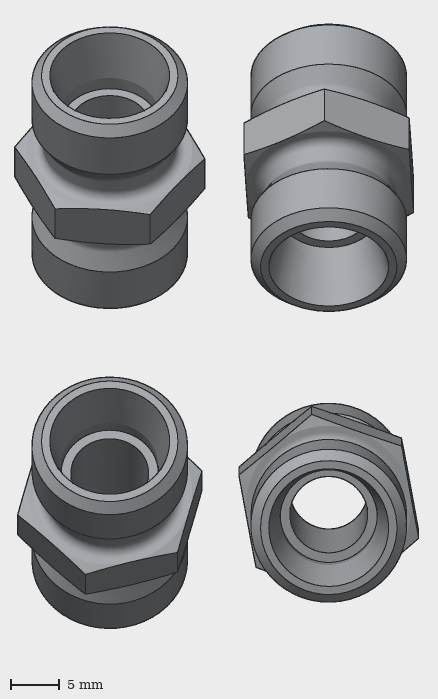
import cadquery as cq
import math

length = 27.0
half_length = length / 2
thread_radius = 16.0 / 2
end_chamfer = 1.0
thread_length = 6.35
runout_angle = 30.0

neck_radius = 13.7 / 2
neck_fillet = 1.0

hex_width = 17.0
hex_height = 5.02
hex_chamfer_angle = 15.0

bore_radius = 8.0 / 2
socket_radius = 10.0 / 2
socket_depth = 7.0
mouth_radius = 12.3 / 2
socket_taper = 12.0


def tan_deg(angle):
    return math.tan(math.radians(angle))


def make_threaded_end():
    """Upper stub: relief neck, runout cone and chamfered cylinder."""
    hex_face = hex_height / 2
    thread_start = half_length - thread_length
    cone_start = thread_start - (thread_radius - neck_radius) / tan_deg(runout_angle)

    tangent = neck_fillet * tan_deg(runout_angle / 2)
    angle = math.radians(runout_angle)
    half_angle = angle / 2
    blend_center_radius = neck_radius + neck_fillet
    blend_start = cone_start - tangent
    blend_middle = (
        blend_center_radius - neck_fillet * math.cos(half_angle),
        blend_start + neck_fillet * math.sin(half_angle),
    )
    blend_end = (
        blend_center_radius - neck_fillet * math.cos(angle),
        blend_start + neck_fillet * math.sin(angle),
    )

    foot_middle = (
        neck_radius + neck_fillet * (1 - math.sqrt(0.5)),
        hex_face + neck_fillet * (1 - math.sqrt(0.5)),
    )
    profile = (
        cq.Workplane("XZ")
        .lineTo(0, half_length)
        .lineTo(thread_radius - end_chamfer, half_length)
        .lineTo(thread_radius, half_length - end_chamfer)
        .lineTo(thread_radius, thread_start)
        .lineTo(*blend_end)
        .threePointArc(blend_middle, (neck_radius, blend_start))
        .lineTo(neck_radius, hex_face + neck_fillet)
        .threePointArc(foot_middle, (neck_radius + neck_fillet, hex_face))
        .lineTo(neck_radius + neck_fillet, 0)
        .close()
    )
    return profile.revolve(360, (0, 0, 0), (0, 1, 0))


def make_hexagon():
    """Hexagon with its corners turned down by a shallow cone on both faces."""
    corner_radius = hex_width / math.sqrt(3)
    flat_radius = hex_width / 2
    half_height = hex_height / 2
    corner_height = half_height - (corner_radius - flat_radius) * tan_deg(hex_chamfer_angle)
    prism = (
        cq.Workplane("XY")
        .polygon(6, 2 * corner_radius)
        .extrude(half_height, both=True)
        .rotate((0, 0, 0), (0, 0, 1), 30)
    )
    turned_blank = (
        cq.Workplane("XZ")
        .moveTo(0, -half_height)
        .lineTo(flat_radius, -half_height)
        .lineTo(corner_radius, -corner_height)
        .lineTo(corner_radius, corner_height)
        .lineTo(flat_radius, half_height)
        .lineTo(0, half_height)
        .close()
        .revolve(360, (0, 0, 0), (0, 1, 0))
    )
    return prism.intersect(turned_blank)


def make_socket():
    """Upper tube socket: tapered mouth, then a straight seat above the bore."""
    taper_end = half_length - (mouth_radius - socket_radius) / tan_deg(socket_taper)
    seat = half_length - socket_depth
    return (
        cq.Workplane("XZ")
        .moveTo(0, seat)
        .lineTo(socket_radius, seat)
        .lineTo(socket_radius, taper_end)
        .lineTo(mouth_radius, half_length)
        .lineTo(0, half_length)
        .close()
        .revolve(360, (0, 0, 0), (0, 1, 0))
    )


threaded_end = make_threaded_end()
socket = make_socket()
bore = cq.Workplane("XY").circle(bore_radius).extrude(half_length, both=True)

body = make_hexagon().union(threaded_end).union(threaded_end.mirror("XY"))
result = body.cut(bore).cut(socket).cut(socket.mirror("XY"))